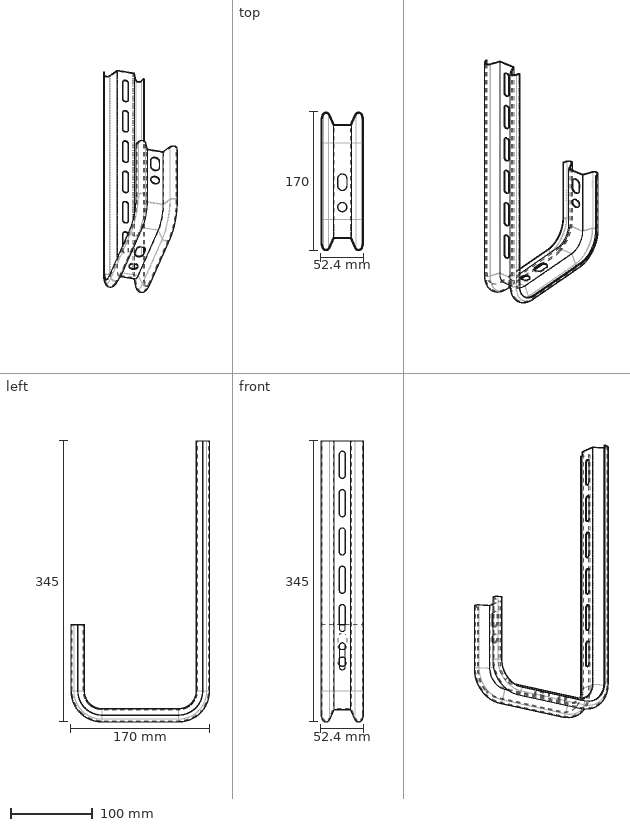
import cadquery as cq
import math

overall_width = 52.4
overall_length = 170.0
long_leg_height = 345.0
short_leg_height = 119.5

thickness = 1.5
section_depth = 16.5
web_half_width = 11.0
flange_tilt = math.radians(24)
lip_tilt = math.radians(17.3)
bead_radius = 5.0
bend_outer_radius = 38.0

long_slot_width = 7.0
long_slot_length = 33.0
long_slot_count = 6
long_slot_pitch = 47.0
long_slot_top_margin = 13.0
hole_diameter = 11.0
wide_slot_length = 20.0
base_slot_y = -1.0
base_hole_y = -31.5
short_leg_hole_height = 74.0
short_leg_hole_spacing = 25.0

half_length = overall_length / 2
long_web_y = -half_length + section_depth
short_web_y = half_length - section_depth
base_web_z = section_depth
bend_inner_radius = bend_outer_radius - section_depth


def on_circle(center, radius, angle):
    """Point on a circle of the section, the angle counted from +X."""
    return (center[0] + radius * math.cos(angle), center[1] + radius * math.sin(angle))


def section_profile(plane):
    """Closed section; the web's inner face is on local y = 0 and the beads lie at negative y."""
    inner_radius = bead_radius - thickness
    bead_y = bead_radius - section_depth
    bead_x = web_half_width + (inner_radius - bead_y * math.sin(flange_tilt)) / math.cos(flange_tilt)
    bead = (bead_x, bead_y)

    flange_angle = math.pi + flange_tilt
    lip_angle = -lip_tilt
    crest_angle = -math.pi / 2

    web_back_half_width = web_half_width - thickness * math.tan((math.pi / 2 - flange_tilt) / 2)
    lip_outer_start = on_circle(bead, bead_radius, lip_angle)
    lip_length = (overall_width / 2 - lip_outer_start[0]) / math.sin(lip_tilt)
    lip_rise = lip_length * math.cos(lip_tilt)
    lip_outer_end = (overall_width / 2, lip_outer_start[1] + lip_rise)
    lip_inner_end = on_circle(lip_outer_end, thickness, math.pi - lip_tilt)

    return (
        cq.Workplane(plane)
        .moveTo(0, 0)
        .lineTo(web_half_width, 0)
        .lineTo(*on_circle(bead, inner_radius, flange_angle))
        .threePointArc(
            on_circle(bead, inner_radius, crest_angle),
            on_circle(bead, inner_radius, lip_angle),
        )
        .lineTo(*lip_inner_end)
        .lineTo(*lip_outer_end)
        .lineTo(*lip_outer_start)
        .threePointArc(
            on_circle(bead, bead_radius, crest_angle),
            on_circle(bead, bead_radius, flange_angle),
        )
        .lineTo(web_back_half_width, -thickness)
        .lineTo(0, -thickness)
        .mirrorY()
    )


def bracket_path():
    """J-shaped path along the web's inner face, from the long leg's top to the short leg's top."""
    bend_z = base_web_z + bend_inner_radius
    bend_offset = bend_inner_radius * (1 - math.sqrt(0.5))
    return (
        cq.Workplane("YZ")
        .moveTo(long_web_y, long_leg_height)
        .lineTo(long_web_y, bend_z)
        .threePointArc(
            (long_web_y + bend_offset, base_web_z + bend_offset),
            (long_web_y + bend_inner_radius, base_web_z),
        )
        .lineTo(short_web_y - bend_inner_radius, base_web_z)
        .threePointArc(
            (short_web_y - bend_offset, base_web_z + bend_offset),
            (short_web_y, bend_z),
        )
        .lineTo(short_web_y, short_leg_height)
    )


def web_cutter(plane_name, origin, centers, length, width):
    """Slots (or round holes where length equals width) running through the web's thickness."""
    cutter = cq.Workplane(plane_name, origin=origin).pushPoints(centers)
    if length > width:
        cutter = cutter.slot2D(length, width, 90)
    else:
        cutter = cutter.circle(width / 2)
    return cutter.extrude(2 * thickness, both=True)


def cut_long_leg(body):
    """Row of narrow slots down the long leg."""
    top_center = long_leg_height - long_slot_top_margin - long_slot_length / 2
    centers = [(0, top_center - i * long_slot_pitch) for i in range(long_slot_count)]
    origin = (0, long_web_y, 0)
    return body.cut(web_cutter("XZ", origin, centers, long_slot_length, long_slot_width))


def cut_base(body):
    """Slot near the middle of the base and a round hole beside it, towards the long leg."""
    origin = (0, 0, base_web_z)
    slot = web_cutter("XY", origin, [(0, base_slot_y)], wide_slot_length, hole_diameter)
    hole = web_cutter("XY", origin, [(0, base_hole_y)], hole_diameter, hole_diameter)
    return body.cut(slot).cut(hole)


def cut_short_leg(body):
    """Round hole in the short leg with a slot above it."""
    origin = (0, short_web_y, 0)
    slot_height = short_leg_hole_height + short_leg_hole_spacing
    slot = web_cutter("XZ", origin, [(0, slot_height)], wide_slot_length, hole_diameter)
    hole = web_cutter("XZ", origin, [(0, short_leg_hole_height)], hole_diameter, hole_diameter)
    return body.cut(slot).cut(hole)


top_plane = cq.Plane(origin=(0, long_web_y, long_leg_height), xDir=(1, 0, 0), normal=(0, 0, 1))
result = section_profile(top_plane).sweep(bracket_path())
result = cut_long_leg(result)
result = cut_base(result)
result = cut_short_leg(result)